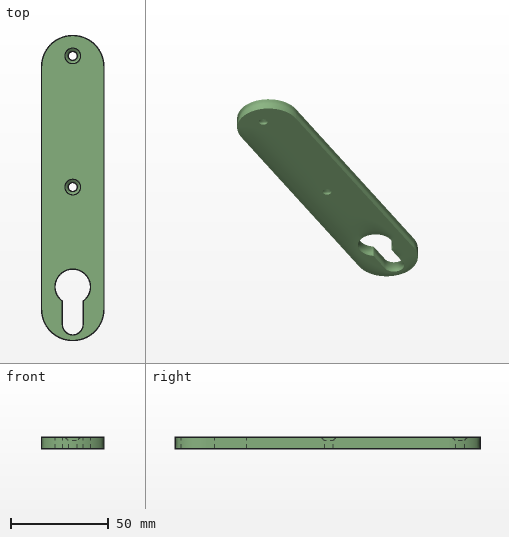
import cadquery as cq
import math

plate_length = 156.0
plate_width = 32.0
plate_thickness = 6.0

screw_hole_diameter = 4.5
countersink_diameter = 8.0
countersink_angle = 90.0
screw_hole_positions_y = (67.5, 0.5)

barrel_diameter = 18.0
barrel_center_y = -50.5
keyway_width = 10.5
keyway_end_y = -75.0


def make_plate():
    """Flat plate with fully rounded ends."""
    return (
        cq.Workplane("XY")
        .slot2D(plate_length, plate_width, angle=90)
        .extrude(plate_thickness)
    )


def cut_screw_holes(plate):
    """Through holes countersunk from the top face."""
    return (
        plate.faces(">Z")
        .workplane(origin=(0, 0, plate_thickness))
        .pushPoints([(0, y) for y in screw_hole_positions_y])
        .cskHole(screw_hole_diameter, countersink_diameter, countersink_angle)
    )


def cut_keyhole(plate):
    """Through opening: barrel circle running into a round-ended keyway."""
    barrel_radius = barrel_diameter / 2
    half_keyway = keyway_width / 2
    shoulder_y = barrel_center_y - math.sqrt(barrel_radius**2 - half_keyway**2)
    keyway_arc_center_y = keyway_end_y + half_keyway
    keyhole = (
        cq.Workplane("XY")
        .moveTo(-half_keyway, shoulder_y)
        .threePointArc((0, barrel_center_y + barrel_radius), (half_keyway, shoulder_y))
        .lineTo(half_keyway, keyway_arc_center_y)
        .threePointArc((0, keyway_end_y), (-half_keyway, keyway_arc_center_y))
        .close()
        .extrude(plate_thickness)
    )
    return plate.cut(keyhole)


result = cut_keyhole(cut_screw_holes(make_plate()))